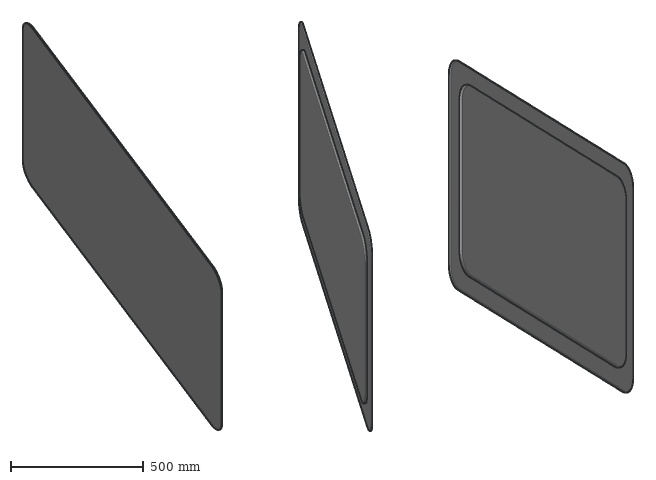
import cadquery as cq

panel_width = 1524.0
panel_height = 914.4
total_thickness = 15.875
corner_radius = 76.2
back_edge_radius = 4.1

face_thickness = 6.35
backing_thickness = total_thickness - face_thickness
backing_margin = 76.2


def rounded_board(width, height, thickness, front_y):
    """Upright board with rounded corners and a rounded back edge, its front at front_y."""
    return (
        cq.Workplane("XZ", origin=(0, front_y, 0))
        .rect(width, height)
        .extrude(-thickness)
        .edges("|Y")
        .fillet(corner_radius)
        .faces(">Y")
        .edges()
        .fillet(back_edge_radius)
    )


face_sheet = rounded_board(panel_width, panel_height, face_thickness, 0)
backing_board = rounded_board(
    panel_width - 2 * backing_margin,
    panel_height - 2 * backing_margin,
    backing_thickness,
    face_thickness,
)

result = face_sheet.union(backing_board)